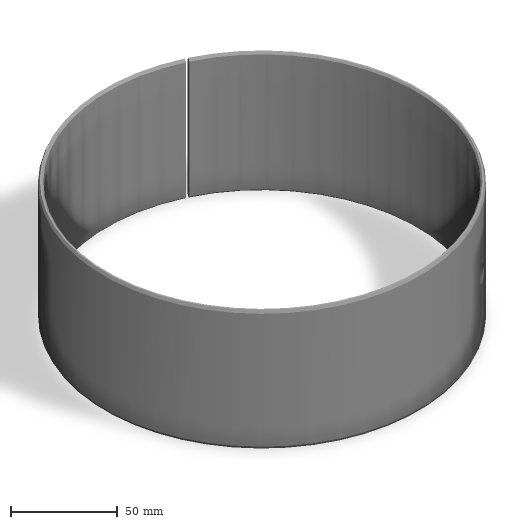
import cadquery as cq

outer_diameter = 210.0
height = 80.0
wall = 2.5
bevel_width = 0.8
outer_bevel_height = 1.7
inner_bevel_height = 1.0
split_width = 1.7
hole_diameter = 10.0
hole_angle = 59.0

outer_radius = outer_diameter / 2
cut_length = 4 * wall


def ring_body():
    """Thin band centred on the origin, revolved from its bevelled wall section."""
    inner_radius = outer_radius - wall
    top = height / 2
    outer_flat = top - outer_bevel_height
    inner_flat = top - inner_bevel_height
    section = [
        (outer_radius, -outer_flat),
        (outer_radius, outer_flat),
        (outer_radius - bevel_width, top),
        (inner_radius + bevel_width, top),
        (inner_radius, inner_flat),
        (inner_radius, -inner_flat),
        (inner_radius + bevel_width, -top),
        (outer_radius - bevel_width, -top),
    ]
    return cq.Workplane("XZ").polyline(section).close().revolve(360, (0, 0), (0, 1))


def split():
    """Narrow full-height gap at -X, with one face on the XZ plane."""
    return cq.Workplane("XY").box(cut_length, split_width, 2 * height).translate(
        (-outer_radius, split_width / 2, 0)
    )


def radial_hole():
    """Cylinder through one side of the wall at mid-height."""
    return (
        cq.Workplane("YZ", origin=(outer_radius - cut_length / 2, 0, 0))
        .circle(hole_diameter / 2)
        .extrude(cut_length)
        .rotate((0, 0, 0), (0, 0, 1), hole_angle)
    )


result = ring_body().cut(split()).cut(radial_hole())